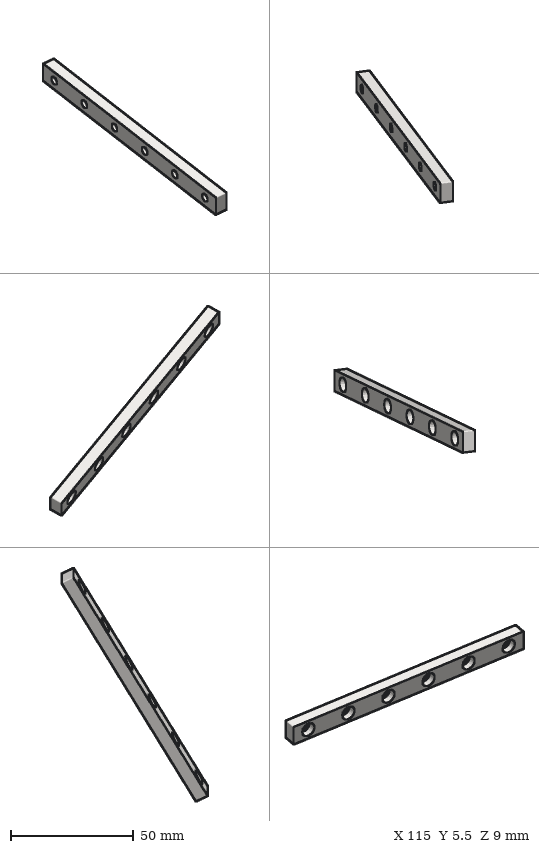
import cadquery as cq

LENGTH = 115.0
THICKNESS = 5.5
HEIGHT = 9.0
END_EDGE_RADIUS = 0.5

HOLE_DIAMETER = 3.5
HOLE_COUNT = 6
HOLE_PITCH = 20.0
COUNTERBORE_DIAMETER = 6.0
COUNTERBORE_DEPTH = 3.5


def make_bar():
    """Plain bar centred on the origin, with its four end edges rounded."""
    bar = cq.Workplane("XY").box(LENGTH, THICKNESS, HEIGHT)
    return bar.edges("|Y").fillet(END_EDGE_RADIUS)


def drill_holes(bar):
    """Drill the evenly spaced holes through the thickness, counterbored from the +Y face."""
    return (
        bar.faces(">Y")
        .workplane(centerOption="CenterOfBoundBox")
        .rarray(HOLE_PITCH, 1, HOLE_COUNT, 1)
        .cboreHole(HOLE_DIAMETER, COUNTERBORE_DIAMETER, COUNTERBORE_DEPTH)
    )


result = drill_holes(make_bar())